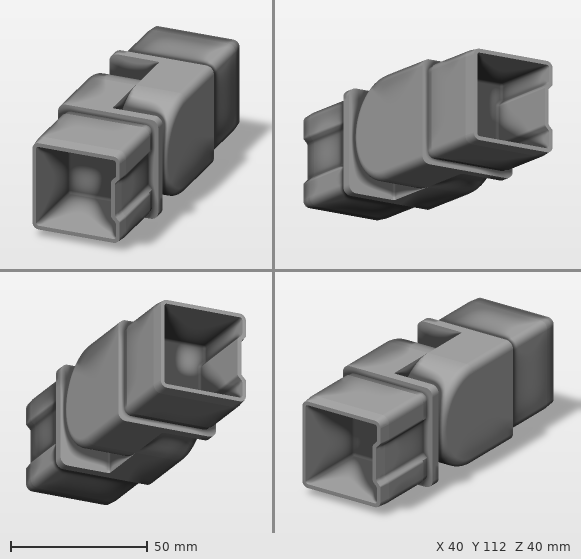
import cadquery as cq
import math

length = 112.0
side = 40.0
half_side = side / 2
half_turn = 180
quarter_turn = half_turn / 2
corner_radius = 3.0

socket_end = length / 2
flange_outer = 26.0
flange_thickness = 3.9
flange_inner = flange_outer - flange_thickness
notch_fillet = 0.8

socket_side = 35.8
half_socket = socket_side / 2
neck_length = 3.0
neck_inset = 0.3
tip_length = 4.9
tip_inset = 0.5
tip_taper = math.degrees(math.atan(tip_inset / tip_length))
tip_start = socket_end - tip_length

flank_angle = 45.0
groove_depth = 1.9
groove_floor_half = 6.5
groove_fillet = 1.2

wall = 2.0
cavity_depth = 31.0
cavity_fillet = 1.0


def rounded_square(half, radius, start, depth):
    """Square bar with rounded corners, running from y = -start towards -Y."""
    bar = cq.Workplane("XZ", origin=(0, -start, 0)).rect(2 * half, 2 * half).extrude(depth)
    return bar.edges("|Y").fillet(radius)


def grooved_bar(inset, radius, groove_radius, start, depth):
    """Square bar with a groove in its +X side, its outline lying inset inside that of the socket."""
    half = half_socket - inset
    floor_x = half - groove_depth
    floor_half = groove_floor_half + inset * math.tan(math.radians(flank_angle / 2))
    lip_half = floor_half + groove_depth / math.tan(math.radians(flank_angle))
    groove_outline = [(half, -lip_half), (floor_x, -floor_half), (floor_x, floor_half), (half, lip_half)]
    groove = (
        cq.Workplane("XZ", origin=(0, -start, 0))
        .polyline(groove_outline)
        .close()
        .extrude(depth)
    )
    bar = rounded_square(half, radius, start, depth).cut(groove)
    for x, z in groove_outline:
        bar = bar.edges(cq.NearestToPointSelector((x, -start - depth / 2, z))).fillet(groove_radius)
    return bar


def make_socket():
    """Solid grooved bar with a stepped-in neck and a tapered tip."""
    bar = grooved_bar(0, corner_radius, groove_fillet, flange_outer, tip_start - flange_outer)
    tip = (
        bar.faces("<Y")
        .wires()
        .toPending()
        .workplane(origin=(0, -tip_start, 0))
        .extrude(tip_length, combine=False, taper=tip_taper)
    )

    neck_outer = rounded_square(half_side, corner_radius, flange_outer, neck_length)
    neck_core = rounded_square(half_socket - neck_inset, corner_radius - neck_inset, flange_outer, neck_length)
    return bar.cut(neck_outer.cut(neck_core)).union(tip)


def make_cavity():
    """Blind pocket with a rounded floor, open at the socket end."""
    floor_start = socket_end - cavity_depth
    cavity = grooved_bar(wall, cavity_fillet, groove_fillet, floor_start, cavity_depth)
    return cavity.faces(">Y").edges().fillet(cavity_fillet)


def make_knuckle():
    """Flange and half-width tongue, with the tongue rounded about the pivot axis."""
    block = rounded_square(half_side, corner_radius, 0, flange_outer)
    round_end = (
        cq.Workplane("XY")
        .moveTo(0, 0)
        .lineTo(0, half_side)
        .lineTo(corner_radius - half_side, half_side)
        .radiusArc((-half_side, half_side - corner_radius), -corner_radius)
        .lineTo(-half_side, 0)
        .close()
        .revolve(half_turn, (0, 0, 0), (-1, 0, 0))
        .rotate((0, 0, 0), (1, 0, 0), quarter_turn)
    )
    notch = (
        cq.Workplane("XY")
        .box(half_side, flange_inner, side, centered=(False, False, True))
        .translate((0, -flange_inner, 0))
        .edges("|Z and <X and <Y")
        .fillet(notch_fillet)
    )
    return block.cut(notch).union(round_end)


def make_joint_half(turn):
    """One hollow half of the joint, turned about Z."""
    half = make_knuckle().union(make_socket()).cut(make_cavity())
    return half.rotate((0, 0, 0), (0, 0, 1), turn)


joint_halves = [make_joint_half(turn) for turn in (0, half_turn)]

result = cq.Compound.makeCompound([half.solids().val() for half in joint_halves])